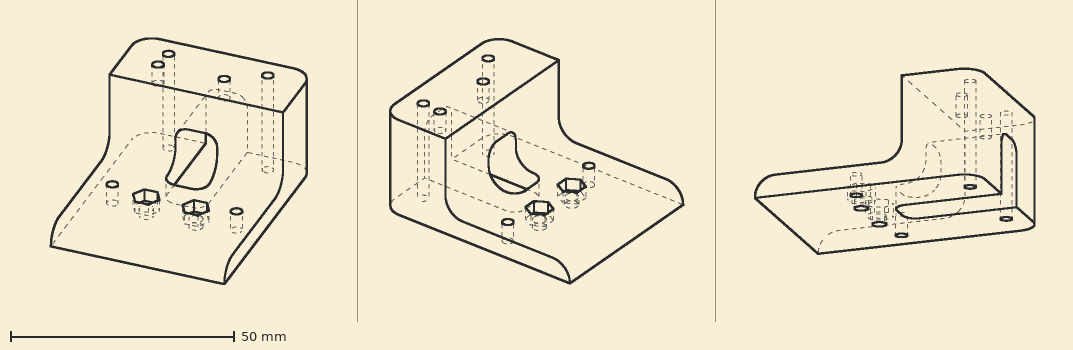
import cadquery as cq
import math

width = 42.0
length = 53.0
height = 25.0
base_thickness = 5.0
block_depth = 18.0
bend_radius = 4.9
nose_radius = 4.9
back = length / 2
front = -length / 2
block_face = back - block_depth

window_width = 10.0
window_top = 15.0
window_front = back - 26.0
window_corner_radius = 3.0

small_diameter = 2.6
bolt_diameter = 3.2
nut_across_flats = 5.5
nut_depth = 3.0
blind_depth = 5.0
block_hole_spacing = 24.0
block_hole_y = back - 5.0
blind_hole_spacing = 16.0
blind_hole_center_x = -4.5
blind_hole_y = back - 10.0
base_hole_spacing = 30.0
base_hole_y = back - 31.0
bolt_spacing = 12.0
bolt_y = back - 33.0


def pair(center_x, spacing, y):
    """Two points placed symmetrically about center_x."""
    return [(center_x - spacing / 2, y), (center_x + spacing / 2, y)]


def drill(points, diameter, top, depth):
    """Vertical cylinders reaching down from the given height."""
    return (
        cq.Workplane("XY")
        .workplane(offset=top)
        .pushPoints(points)
        .circle(diameter / 2)
        .extrude(-depth)
    )


def make_body():
    """L-shaped bracket with a filleted bend and rounded outer edges."""
    body = (
        cq.Workplane("YZ")
        .moveTo(front, 0)
        .lineTo(back, 0)
        .lineTo(back, height)
        .lineTo(block_face, height)
        .lineTo(block_face, base_thickness + bend_radius)
        .radiusArc((block_face - bend_radius, base_thickness), bend_radius)
        .lineTo(front + nose_radius, base_thickness)
        .radiusArc((front, base_thickness - nose_radius), -nose_radius)
        .close()
        .extrude(width / 2, both=True)
    )
    return body.edges("|Z and >Y").fillet(bend_radius)


def make_window():
    """Opening through the block and down through the base."""
    return (
        cq.Workplane("XY")
        .box(window_width, back - window_front, window_top, centered=(True, False, False))
        .translate((0, window_front, 0))
        .edges("(|Z and <Y) or (|Y and >Z)")
        .fillet(window_corner_radius)
    )


def make_nut_pockets():
    """Hexagonal recesses in the base with corners pointing along X."""
    across_corners = nut_across_flats / math.cos(math.pi / 6)
    return (
        cq.Workplane("XY")
        .workplane(offset=base_thickness)
        .pushPoints(pair(0, bolt_spacing, bolt_y))
        .polygon(6, across_corners)
        .extrude(-nut_depth)
    )


block_holes = pair(0, block_hole_spacing, block_hole_y)
blind_holes = pair(blind_hole_center_x, blind_hole_spacing, blind_hole_y)
base_holes = pair(0, base_hole_spacing, base_hole_y)
bolt_holes = pair(0, bolt_spacing, bolt_y)

result = (
    make_body()
    .cut(make_window())
    .cut(drill(block_holes, small_diameter, height, height))
    .cut(drill(blind_holes, small_diameter, height, blind_depth))
    .cut(drill(base_holes, small_diameter, base_thickness, base_thickness))
    .cut(drill(bolt_holes, bolt_diameter, base_thickness, base_thickness))
    .cut(make_nut_pockets())
)